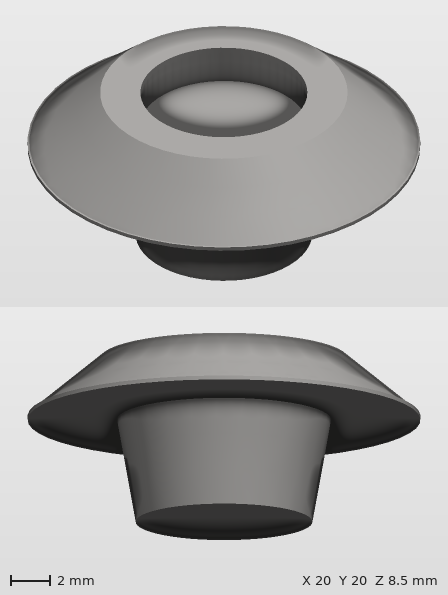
import cadquery as cq

flange_diameter = 20.0
total_height = 8.5

flange_height = 3.2
rim_height = 0.2
cone_base_diameter = 19.8
top_face_diameter = 12.6

stem_top_diameter = 10.9
stem_bottom_diameter = 9.0

recess_diameter = 8.5
recess_depth = 2.0

flange_bottom = total_height - flange_height
rim_top = flange_bottom + rim_height

body = (
    cq.Workplane("XZ")
    .moveTo(0, 0)
    .lineTo(stem_bottom_diameter / 2, 0)
    .lineTo(stem_top_diameter / 2, flange_bottom)
    .lineTo(flange_diameter / 2, flange_bottom)
    .lineTo(flange_diameter / 2, rim_top)
    .lineTo(cone_base_diameter / 2, rim_top)
    .lineTo(top_face_diameter / 2, total_height)
    .lineTo(0, total_height)
    .close()
    .revolve(360, (0, 0), (0, 1))
)

recess = (
    cq.Workplane("XY")
    .workplane(offset=total_height - recess_depth)
    .circle(recess_diameter / 2)
    .extrude(recess_depth)
)

result = body.cut(recess)